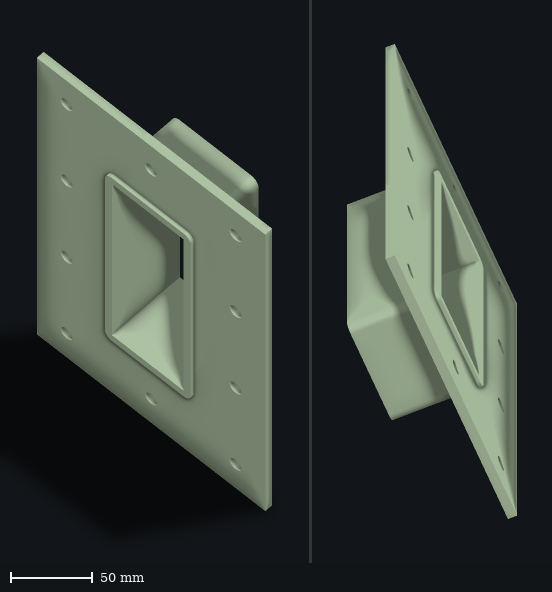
import cadquery as cq

plate_width = 192.5
plate_height = 291.5
plate_thickness = 6.0

opening_width = 60.0
opening_height = 159.5
duct_wall = 6.0
duct_length = 60.0
duct_front_projection = 3.0
duct_corner_radius = 6.0
duct_width = opening_width + 2 * duct_wall
duct_height = opening_height + 2 * duct_wall

hole_diameter = 10.0
hole_column_pitch = 71.0
hole_row_pitch = 80.5
column_count = 3
row_count = 4


def block(width, length, height, front_y):
    """Box centred on X and Z, extending toward +Y from front_y."""
    return (
        cq.Workplane("XY")
        .box(width, length, height, centered=(True, False, True))
        .translate((0, front_y, 0))
    )


def bolt_hole_positions():
    """X, Z centres of the grid positions that lie on its border."""
    positions = []
    for column in range(column_count):
        for row in range(row_count):
            if column in (0, column_count - 1) or row in (0, row_count - 1):
                x = (column - (column_count - 1) / 2) * hole_column_pitch
                z = (row - (row_count - 1) / 2) * hole_row_pitch
                positions.append((x, z))
    return positions


plate = block(plate_width, plate_thickness, plate_height, 0)
bolt_holes = (
    cq.Workplane("XZ")
    .pushPoints(bolt_hole_positions())
    .circle(hole_diameter / 2)
    .extrude(-plate_thickness)
)

duct = block(duct_width, duct_length, duct_height, -duct_front_projection)
duct = duct.edges("|Y").fillet(duct_corner_radius)
opening = block(opening_width, duct_length, opening_height, -duct_front_projection)

result = plate.cut(bolt_holes).union(duct).cut(opening)